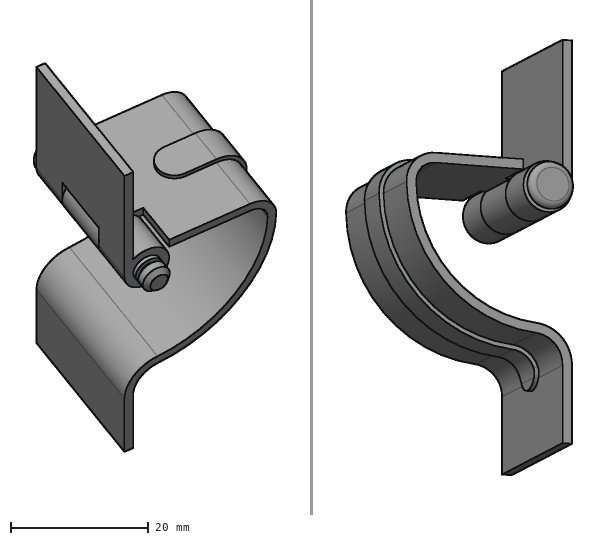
import cadquery as cq
import math

width = 25.0
thickness = 1.5
total_height = 60.0

pin_diameter = 4.6
knuckle_radius = pin_diameter / 2 + thickness
middle_knuckle_width = 10.3
axis_y = knuckle_radius
axis_z = 38.0

head_diameter = 7.0
head_thickness = 2.0
tail_length = 3.5
tail_chamfer = 0.8
groove_start = 0.7
groove_width = 0.7
groove_diameter = 3.0

bow_radius = 20.0
corner_radius = 3.0
foot_bend_radius = 6.0
corner_z = axis_z + knuckle_radius - thickness - corner_radius
bow_y = 4.33
bow_z = 37.57
corner_y = bow_y + math.sqrt((bow_radius - corner_radius) ** 2 - (bow_z - corner_z) ** 2)
foot_bend_y = foot_bend_radius
foot_bend_z = bow_z - math.sqrt((bow_radius + foot_bend_radius) ** 2 - (foot_bend_y - bow_y) ** 2)

rib_width = 6.0
rib_height = 0.7
rib_top_end_y = 13.0
rib_bottom_end_z = 10.1


def polar(center, radius, angle):
    """Point at a radius and an angle (radians, from +Y towards +Z) around a (y, z) center."""
    return (center[0] + radius * math.cos(angle), center[1] + radius * math.sin(angle))


def clamp_strip(start_offset, end_offset, strip_width, top_end_y, bottom_end_z):
    """Strip that follows the clamp bends, between two offsets outward from its inner face."""
    corner = (corner_y, corner_z)
    bow = (bow_y, bow_z)
    foot = (foot_bend_y, foot_bend_z)
    top_angle = math.pi / 2
    corner_bow_angle = math.atan2(corner_z - bow_z, corner_y - bow_y)
    bow_foot_angle = math.atan2(foot_bend_z - bow_z, foot_bend_y - bow_y)
    foot_start_angle = bow_foot_angle + math.pi
    foot_end_angle = math.pi

    def bends(offset):
        """Start, middle and end points of the corner, bow and foot bends at an offset."""
        arcs = (
            (corner, corner_radius + offset, top_angle, corner_bow_angle),
            (bow, bow_radius + offset, corner_bow_angle, bow_foot_angle),
            (foot, foot_bend_radius - offset, foot_start_angle, foot_end_angle),
        )
        return [
            [polar(center, radius, angle) for angle in (start, (start + end) / 2, end)]
            for center, radius, start, end in arcs
        ]

    top_z = corner_z + corner_radius
    outline = cq.Workplane("YZ").moveTo(top_end_y, top_z + start_offset)
    outline = outline.lineTo(corner_y, top_z + start_offset)
    for _, middle, end in bends(start_offset):
        outline = outline.threePointArc(middle, end)
    outline = outline.lineTo(start_offset, bottom_end_z).lineTo(end_offset, bottom_end_z)
    outer_bends = bends(end_offset)
    outline = outline.lineTo(*outer_bends[-1][2])
    for start, middle, _ in reversed(outer_bends):
        outline = outline.threePointArc(middle, start)
    outline = outline.lineTo(top_end_y, top_z + end_offset).close()
    return outline.extrude(strip_width / 2, both=True)


def hinge_cylinder(diameter, x_start, length):
    """Cylinder on the hinge axis."""
    return cq.Workplane("YZ", origin=(x_start, axis_y, axis_z)).circle(diameter / 2).extrude(length)


def centered_box(x_size, y_range, z_range):
    """Box centered on x = 0 between two y and two z limits."""
    size_y = y_range[1] - y_range[0]
    size_z = z_range[1] - z_range[0]
    box = cq.Workplane("XY").box(x_size, size_y, size_z)
    return box.translate((0, sum(y_range) / 2, sum(z_range) / 2))


def pin_hole():
    """Bore through all knuckles, filled by the pin."""
    return hinge_cylinder(pin_diameter, -width / 2, width)


def make_rib():
    """Raised rib with a full-radius end on the arm and on the foot."""
    rib = clamp_strip(thickness, thickness + rib_height, rib_width, rib_top_end_y, rib_bottom_end_z)
    end_radius = rib_width / 2

    top_center_y = rib_top_end_y + end_radius
    top_z = (axis_z, total_height)
    top_square = centered_box(rib_width, (rib_top_end_y, top_center_y), top_z)
    top_round = (
        cq.Workplane("XY", origin=(0, top_center_y, axis_z))
        .circle(end_radius)
        .extrude(total_height - axis_z)
    )
    bottom_center_z = rib_bottom_end_z + end_radius
    bottom_square = centered_box(rib_width, (0, foot_bend_y), (rib_bottom_end_z, bottom_center_z))
    bottom_round = (
        cq.Workplane("XZ", origin=(0, 0, bottom_center_z)).circle(end_radius).extrude(-foot_bend_y)
    )
    return rib.cut(top_square.cut(top_round)).cut(bottom_square.cut(bottom_round))


def make_clamp():
    """Bowed leaf with the middle knuckle, a foot plate and a rib."""
    clamp = clamp_strip(0, thickness, width, 2 * knuckle_radius, 0)
    arm_top = axis_z + knuckle_radius
    tongue = centered_box(
        middle_knuckle_width, (axis_y, 2 * knuckle_radius), (arm_top - thickness, arm_top)
    )
    knuckle = hinge_cylinder(2 * knuckle_radius, -middle_knuckle_width / 2, middle_knuckle_width)
    return clamp.union(tongue).union(knuckle).cut(pin_hole()).union(make_rib())


def make_leaf():
    """Flat leaf with two outer knuckles on either side of the middle knuckle."""
    plate = centered_box(width, (0, thickness), (axis_z, total_height))
    knuckles = hinge_cylinder(2 * knuckle_radius, -width / 2, width)
    slot = centered_box(
        middle_knuckle_width,
        (0, 2 * knuckle_radius),
        (axis_z - knuckle_radius, axis_z + knuckle_radius),
    )
    return plate.union(knuckles).cut(slot).cut(pin_hole())


def make_pin():
    """Pin with a rounded head and, on its tail, a retaining-ring groove and a chamfer."""
    head_x = -width / 2 - head_thickness
    seat_x = -width / 2
    groove_x = width / 2 + groove_start
    tail_x = width / 2 + tail_length
    head_radius = head_diameter / 2
    round_radius = head_thickness / 2
    pin_radius = pin_diameter / 2
    groove_radius = groove_diameter / 2

    half_profile = (
        cq.Workplane("XZ", origin=(0, axis_y, axis_z))
        .moveTo(head_x, 0)
        .lineTo(head_x, head_radius - round_radius)
        .threePointArc((head_x + round_radius, head_radius), (seat_x, head_radius - round_radius))
        .lineTo(seat_x, pin_radius)
        .lineTo(groove_x, pin_radius)
        .lineTo(groove_x, groove_radius)
        .lineTo(groove_x + groove_width, groove_radius)
        .lineTo(groove_x + groove_width, pin_radius)
        .lineTo(tail_x - tail_chamfer, pin_radius)
        .lineTo(tail_x, pin_radius - tail_chamfer)
        .lineTo(tail_x, 0)
        .close()
    )
    return half_profile.revolve(360, (0, 0, 0), (1, 0, 0))


clamp = make_clamp()
leaf = make_leaf()
pin = make_pin()

result = cq.Compound.makeCompound([clamp.val(), leaf.val(), pin.val()])